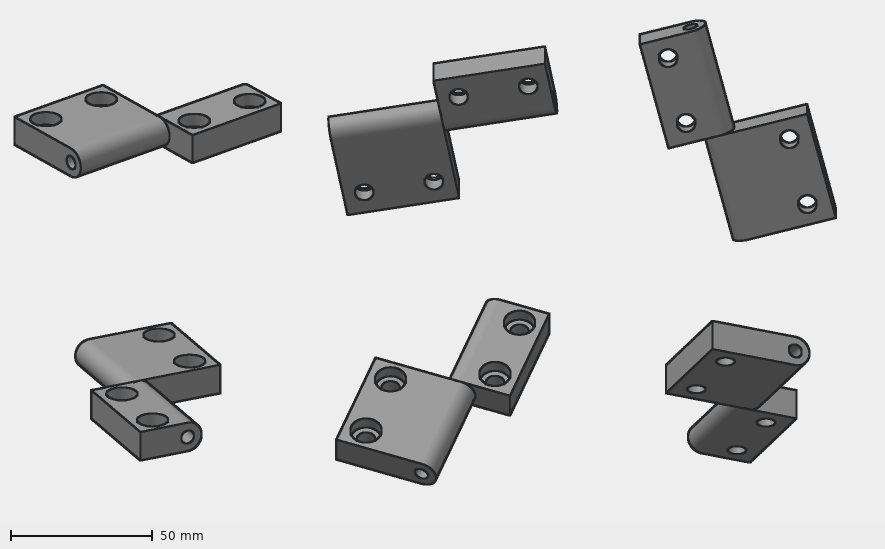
import cadquery as cq

total_length = 80.0
leaf_length = total_length / 2
thickness = 11.0
knuckle_radius = thickness / 2
wide_reach = 32.0
narrow_reach = 18.5
pin_bore = 5.0

screw_diameter = 6.6
head_diameter = 11.0
head_depth = 5.0
screw_edge_inset = 8.4
screw_spacing = 25.0


def make_leaf(reach, side, start_y):
    """One leaf reaching from the pin axis toward side (-1 or +1) in X."""
    profile = (
        cq.Workplane("XZ", origin=(0, start_y, 0))
        .moveTo(0, knuckle_radius)
        .lineTo(side * reach, knuckle_radius)
        .lineTo(side * reach, -knuckle_radius)
        .lineTo(0, -knuckle_radius)
        .threePointArc((-side * knuckle_radius, 0), (0, knuckle_radius))
        .close()
    )
    leaf = profile.extrude(-leaf_length)

    bore = cq.Workplane("XZ", origin=(0, start_y, 0)).circle(pin_bore / 2).extrude(-leaf_length)
    leaf = leaf.cut(bore)

    hole_x = side * (reach - screw_edge_inset)
    middle_y = start_y + leaf_length / 2
    hole_centres = [(hole_x, middle_y + end * screw_spacing / 2) for end in (-1, 1)]
    return (
        cq.Workplane("XY", origin=(0, 0, knuckle_radius))
        .add(leaf)
        .pushPoints(hole_centres)
        .cboreHole(screw_diameter, head_diameter, head_depth)
    )


wide_leaf = make_leaf(wide_reach, -1, -leaf_length)
narrow_leaf = make_leaf(narrow_reach, 1, 0)

result = cq.Compound.makeCompound([wide_leaf.val(), narrow_leaf.val()])